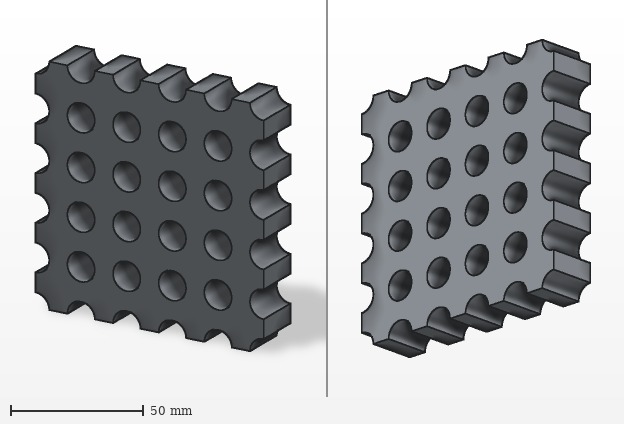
import cadquery as cq

side = 100.0
thickness = 20.0
cells_per_side = 5
hole_diameter = 12.0

pitch = side / cells_per_side
holes_per_side = cells_per_side + 1

plate = cq.Workplane("XY").box(side, thickness, side)

hole_cutters = (
    cq.Workplane("XZ", origin=(0, thickness / 2, 0))
    .rarray(pitch, pitch, holes_per_side, holes_per_side)
    .circle(hole_diameter / 2)
    .extrude(thickness)
)

result = plate.cut(hole_cutters)